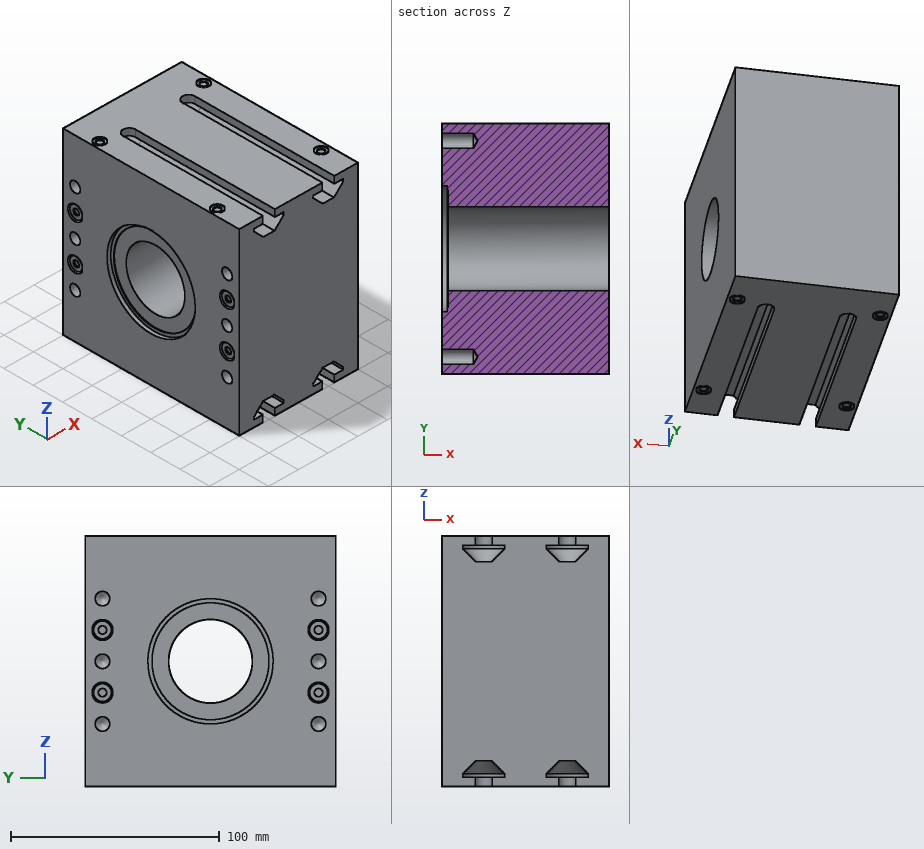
import cadquery as cq
import math

WIDTH = 80.0
LENGTH = 120.0
HEIGHT = 120.0

SLOT_X = WIDTH / 4
SLOT_END_CENTRE_Y = 35.0
SLOT_NECK_WIDTH = 8.0
SLOT_NECK_DEPTH = 4.5
SLOT_HEAD_WIDTH = 20.0
SLOT_HEAD_LIP = 1.5
SLOT_FLOOR_WIDTH = 7.5
SLOT_DEPTH = SLOT_NECK_DEPTH + SLOT_HEAD_LIP + (SLOT_HEAD_WIDTH - SLOT_FLOOR_WIDTH) / 2

BORE_DIAMETER = 40.0
RECESS_DIAMETER = 60.0
RECESS_DEPTH = 2.5
INNER_RECESS_DIAMETER = 56.0
INNER_RECESS_DEPTH = 3.0

COLUMN_Y = LENGTH / 2 - 8.3
HOLE_PITCH = 15.0
DRILL_DIAMETER = 7.0
DRILL_DEPTH = 15.0
DRILL_POINT_ANGLE = 118.0

SIDE_POCKET_DIAMETER = 10.0
SIDE_HEAD_DIAMETER = 8.5
SIDE_HEAD_DROP = 0.7
SIDE_POCKET_DEPTH = 4.8
SIDE_SOCKET_DIAMETER = 4.0
SIDE_SOCKET_DEPTH = 1.0

PLATE_SCREW_X = WIDTH / 2 - 5.0
PLATE_SCREW_Y = LENGTH / 3
PLATE_POCKET_DIAMETER = 7.2
PLATE_POCKET_DEPTH = 0.5
PLATE_SOCKET_DIAMETER = 4.3
PLATE_SOCKET_DEPTH = 0.7


def cylinder(diameter, length):
    """Cylinder on the Z axis from the origin; a negative length goes along -Z."""
    return cq.Workplane("XY").circle(diameter / 2).extrude(length)


def half_slot_profile():
    """Right half of the slot section, with the slot mouth at z = 0."""
    neck = SLOT_NECK_WIDTH / 2
    head = SLOT_HEAD_WIDTH / 2
    floor = SLOT_FLOOR_WIDTH / 2
    lip_bottom = SLOT_NECK_DEPTH + SLOT_HEAD_LIP
    return (
        cq.Workplane("XZ")
        .polyline([
            (0, 0),
            (neck, 0),
            (neck, -SLOT_NECK_DEPTH),
            (head, -SLOT_NECK_DEPTH),
            (head, -lip_bottom),
            (floor, -SLOT_DEPTH),
            (0, -SLOT_DEPTH),
        ])
        .close()
    )


def slot_cutter():
    """Slot shape with its mouth at z = 0 and its rounded end centred at the origin."""
    run = half_slot_profile().extrude(SLOT_END_CENTRE_Y + LENGTH / 2)
    rounded_end = half_slot_profile().revolve(360, (0, 0, 0), (0, 1, 0))
    return run.union(run.mirror("YZ")).union(rounded_end)


def drill_cutter():
    """Blind drilled hole with a conical bottom, entering at the origin along +Z."""
    radius = DRILL_DIAMETER / 2
    point = radius / math.tan(math.radians(DRILL_POINT_ANGLE / 2))
    return (
        cq.Workplane("XZ")
        .polyline([(0, 0), (radius, 0), (radius, DRILL_DEPTH), (0, DRILL_DEPTH + point)])
        .close()
        .revolve(360, (0, 0, 0), (0, 1, 0))
    )


def side_screw_cutter():
    """Clearance around a sunk screw head, entering at the origin along +Z."""
    pocket = cylinder(SIDE_POCKET_DIAMETER, SIDE_POCKET_DEPTH)
    head_length = SIDE_POCKET_DEPTH - SIDE_HEAD_DROP
    head = cylinder(SIDE_HEAD_DIAMETER, head_length).translate((0, 0, SIDE_HEAD_DROP))
    socket = cylinder(SIDE_SOCKET_DIAMETER, SIDE_HEAD_DROP + SIDE_SOCKET_DEPTH)
    return pocket.cut(head).union(socket)


def plate_screw_cutter():
    """Pocket over a screw and the socket in the screw, entering at the origin along -Z."""
    pocket = cylinder(PLATE_POCKET_DIAMETER, -PLATE_POCKET_DEPTH)
    socket_bottom = PLATE_POCKET_DEPTH + PLATE_SOCKET_DEPTH
    socket = cylinder(PLATE_SOCKET_DIAMETER, -socket_bottom)
    return pocket.union(socket)


def on_bored_face(cutter, y, z):
    """Turn a +Z cutter to enter the -X face at the given Y and Z."""
    return cutter.rotate((0, 0, 0), (0, 1, 0), 90).translate((-WIDTH / 2, y, z))


body = cq.Workplane("XY").box(WIDTH, LENGTH, HEIGHT)

for side in (-1, 1):
    slot = slot_cutter().translate((side * SLOT_X, SLOT_END_CENTRE_Y, HEIGHT / 2))
    body = body.cut(slot).cut(slot.mirror("XY"))
    for end in (-1, 1):
        screw = plate_screw_cutter().translate((side * PLATE_SCREW_X, end * PLATE_SCREW_Y, HEIGHT / 2))
        body = body.cut(screw).cut(screw.mirror("XY"))

bore = cylinder(BORE_DIAMETER, WIDTH)
recess = cylinder(RECESS_DIAMETER, RECESS_DEPTH)
inner_recess = cylinder(INNER_RECESS_DIAMETER, INNER_RECESS_DEPTH)
body = body.cut(on_bored_face(bore.union(recess).union(inner_recess), 0, 0))

for y in (-COLUMN_Y, COLUMN_Y):
    for row in (-2, 0, 2):
        body = body.cut(on_bored_face(drill_cutter(), y, row * HOLE_PITCH))
    for row in (-1, 1):
        body = body.cut(on_bored_face(side_screw_cutter(), y, row * HOLE_PITCH))

result = body